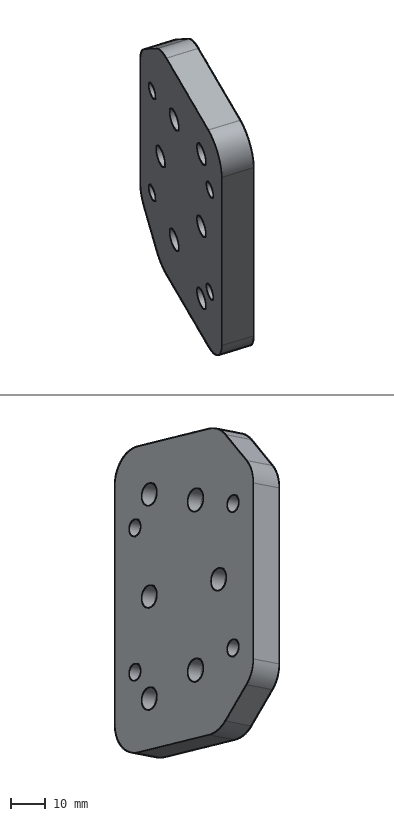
import cadquery as cq
import math

WIDTH = 60.0
THICKNESS = 10.0
HEIGHT = 90.0
CORNER_CUT = 15.0
CORNER_RADIUS = 10.0

BOLT_CIRCLE_DIAMETER = 60.0
BOLT_HOLE_DIAMETER = 5.0
BOLT_FIRST_ANGLE = 45.0
BOLT_COUNT = 4

OUTER_HOLE_DIAMETER = 6.6
HOLE_COLUMN_X = 15.0
RIGHT_HOLE_Z = 30.0
INNER_HOLE_DIAMETER = 6.8
INNER_HOLE_X = -5.0
INNER_HOLE_Z = 25.0


def make_plate():
    """Plate in the XZ plane with its two -X corners cut at 45 degrees and all corners rounded."""
    half_width = WIDTH / 2
    half_height = HEIGHT / 2
    outline = [
        (half_width, -half_height),
        (half_width, half_height),
        (-half_width + CORNER_CUT, half_height),
        (-half_width, half_height - CORNER_CUT),
        (-half_width, -half_height + CORNER_CUT),
        (-half_width + CORNER_CUT, -half_height),
    ]
    plate = cq.Workplane("XZ").polyline(outline).close().extrude(THICKNESS / 2, both=True)
    return plate.edges("|Y").fillet(CORNER_RADIUS)


def make_drills(points, diameter):
    """Cylinders along Y that pass through the whole plate at the given (x, z) points."""
    return cq.Workplane("XZ").pushPoints(points).circle(diameter / 2).extrude(THICKNESS, both=True)


def bolt_circle_points():
    """Evenly spaced (x, z) points on the bolt circle."""
    radius = BOLT_CIRCLE_DIAMETER / 2
    angles = [math.radians(BOLT_FIRST_ANGLE + i * 360 / BOLT_COUNT) for i in range(BOLT_COUNT)]
    return [(radius * math.cos(angle), radius * math.sin(angle)) for angle in angles]


outer_points = [
    (-HOLE_COLUMN_X, 0),
    (HOLE_COLUMN_X, 0),
    (HOLE_COLUMN_X, RIGHT_HOLE_Z),
    (HOLE_COLUMN_X, -RIGHT_HOLE_Z),
]
inner_points = [(INNER_HOLE_X, INNER_HOLE_Z), (INNER_HOLE_X, -INNER_HOLE_Z)]

result = make_plate()
result = result.cut(make_drills(bolt_circle_points(), BOLT_HOLE_DIAMETER))
result = result.cut(make_drills(outer_points, OUTER_HOLE_DIAMETER))
result = result.cut(make_drills(inner_points, INNER_HOLE_DIAMETER))